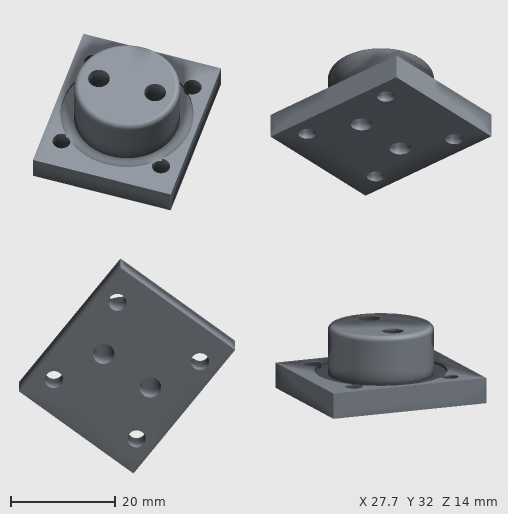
import cadquery as cq

plate_width = 27.7
plate_length = 32
plate_thickness = 5.0

total_height = 14.0
boss_diameter = 20.4
boss_edge_radius = 1.0

recess_diameter = 25.5
recess_depth = 0.6

mount_hole_diameter = 3.5
mount_hole_spacing = 20.0
boss_hole_diameter = 4.15
boss_hole_spacing = 11.3


def make_plate():
    """Rectangular plate with its bottom on Z = 0 and a round recess in its top."""
    plate = cq.Workplane("XY").box(
        plate_width, plate_length, plate_thickness, centered=(True, True, False)
    )
    recess = (
        cq.Workplane("XY", origin=(0, 0, plate_thickness - recess_depth))
        .circle(recess_diameter / 2)
        .extrude(recess_depth)
    )
    return plate.cut(recess)


def make_boss():
    """Cylinder with a rounded top edge, running down through the plate."""
    boss = cq.Workplane("XY").circle(boss_diameter / 2).extrude(total_height)
    return boss.faces(">Z").edges().fillet(boss_edge_radius)


def make_through_holes():
    """Cutters for the four mounting holes and the two holes in the boss."""
    mount_holes = (
        cq.Workplane("XY")
        .rect(mount_hole_spacing, mount_hole_spacing, forConstruction=True)
        .vertices()
        .circle(mount_hole_diameter / 2)
        .extrude(total_height)
    )
    boss_holes = (
        cq.Workplane("XY")
        .rarray(boss_hole_spacing, 0.32, 2, 1)
        .circle(boss_hole_diameter / 2)
        .extrude(total_height)
    )
    return mount_holes.union(boss_holes)


result = make_plate().union(make_boss()).cut(make_through_holes())